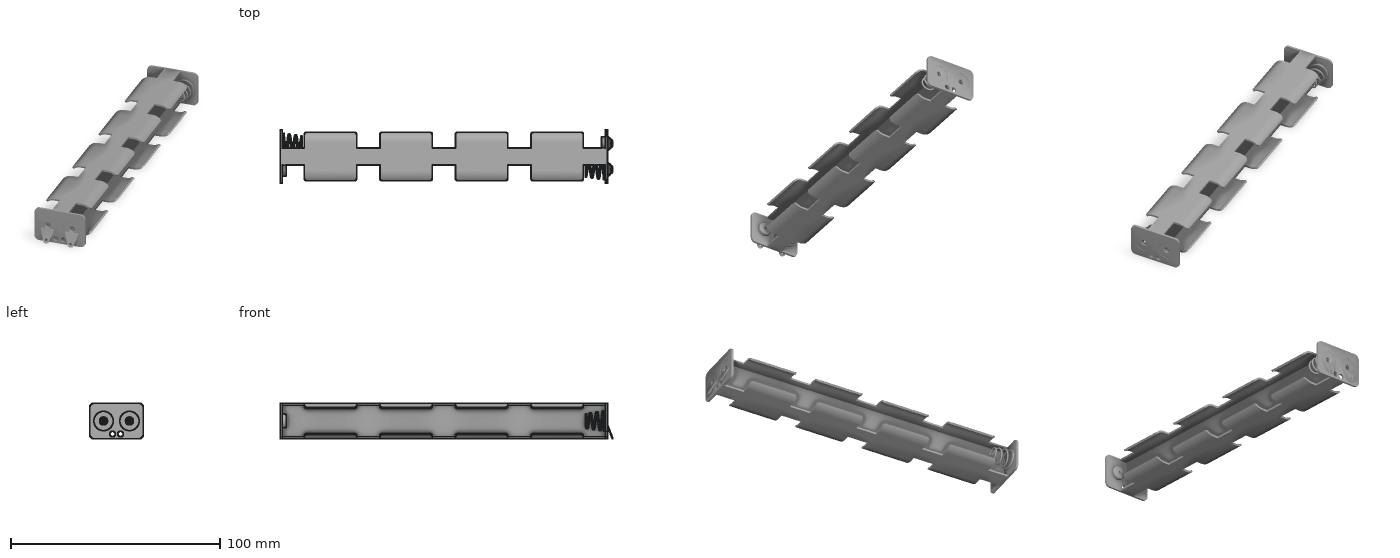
import cadquery as cq
import math

housing_length = 156.4
housing_width = 25.7
housing_height = 17.2
wall = 1.0
plate_thickness = 1.1
plate_corner_radius = 2.4
spine_half_width = 4.1

wing_count = 4
wing_length = 25.1
wing_pitch = 36.0
wing_flat_half_width = 7.0
wing_outer_radius = 6.4
wing_inner_radius = wing_outer_radius - wall
wing_arc_angle = 47.5
wing_corner_radius = 1.6

contact_offset = 6.2
disc_radius = 4.6
pocket_depth = 0.5
wire_hole_radius = 1.3
wire_hole_offset = 1.9
wire_hole_height = -6.2

contact_thickness = 0.3
stem_radius = 1.9
countersink_radius = 1.6
bore_radius = 1.1
vent_radius = 0.6
disc_face = pocket_depth - contact_thickness
button_radius = 3.3
button_height = 1.9
button_fillet = 0.8

tab_root_height = -1.5
tab_root_half_width = 3.7
tab_tip_radius = 1.7
tab_hole_radius = 0.6
tab_angle = 21.2
tab_overhang = 2.5
tab_length = (tab_overhang + disc_face) / math.sin(math.radians(tab_angle))

spring_wire_radius = 0.4
spring_height = 9.5
spring_clearance = 0.08
spring_base_radius = 4.6
spring_taper_per_turn = 0.45
spring_first_turn = -0.6
spring_rise_start = 0.1
spring_rise_end = 2.9
spring_last_turn = 3.6
spring_points_per_turn = 8

half_height = housing_height / 2


def arc_point(radius, angle):
    """Point on the wing arc, measured from where the arc leaves the flat."""
    y = wing_flat_half_width + radius * math.sin(math.radians(angle))
    z = half_height - wing_outer_radius + radius * math.cos(math.radians(angle))
    return y, z


def wing(start):
    """Upper wing on the +Y side: a flat strip that curls down around the battery."""
    profile = (
        cq.Workplane("YZ", origin=(start, 0, 0))
        .moveTo(0, half_height)
        .lineTo(wing_flat_half_width, half_height)
        .threePointArc(
            arc_point(wing_outer_radius, wing_arc_angle / 2),
            arc_point(wing_outer_radius, wing_arc_angle),
        )
        .lineTo(*arc_point(wing_inner_radius, wing_arc_angle))
        .threePointArc(
            arc_point(wing_inner_radius, wing_arc_angle / 2),
            (wing_flat_half_width, half_height - wall),
        )
        .lineTo(0, half_height - wall)
        .close()
    )
    body = profile.extrude(wing_length)
    tip_y, tip_z = arc_point((wing_outer_radius + wing_inner_radius) / 2, wing_arc_angle)
    for x in (start, start + wing_length):
        corner = cq.selectors.NearestToPointSelector((x, tip_y, tip_z))
        body = body.edges(corner).fillet(wing_corner_radius)
    return body


def end_plate(start):
    return (
        cq.Workplane("YZ", origin=(start, 0, 0))
        .rect(housing_width, housing_height)
        .extrude(plate_thickness)
        .edges("|X")
        .fillet(plate_corner_radius)
    )


def x_cylinder(start, length, radius, y=0, z=0):
    return cq.Workplane("YZ", origin=(start, y, z)).circle(radius).extrude(length)


def make_housing():
    web = cq.Workplane("XY").box(housing_length, wall, housing_height, centered=(False, True, True))
    body = web.union(end_plate(0)).union(end_plate(housing_length - plate_thickness))
    strip = cq.Workplane("XY").box(
        housing_length, 2 * spine_half_width, wall, centered=(False, True, False)
    )
    body = body.union(strip.translate((0, 0, half_height - wall)))
    body = body.union(strip.translate((0, 0, -half_height)))

    first_wing = (housing_length - (wing_count - 1) * wing_pitch - wing_length) / 2
    for index in range(wing_count):
        one_wing = wing(first_wing + index * wing_pitch)
        upper_pair = one_wing.union(one_wing.mirror("XZ"))
        body = body.union(upper_pair).union(upper_pair.mirror("XY"))

    for side in (-1, 1):
        y = side * contact_offset
        body = body.cut(x_cylinder(0, pocket_depth, disc_radius, y))
        body = body.cut(x_cylinder(housing_length - pocket_depth, pocket_depth, disc_radius, y))
        for plate_start in (0, housing_length - plate_thickness):
            body = body.cut(x_cylinder(plate_start, plate_thickness, stem_radius, y))
            wire_hole = x_cylinder(plate_start, plate_thickness, wire_hole_radius)
            body = body.cut(wire_hole.translate((0, side * wire_hole_offset, wire_hole_height)))
    return body


def rivet():
    """Disc in the plate's pocket with a stem through the plate."""
    disc = x_cylinder(disc_face, contact_thickness, disc_radius)
    return disc.union(x_cylinder(disc_face, plate_thickness - disc_face, stem_radius))


def pierce(contact):
    """Opens the stem: a countersink, a bore, and a vent to the battery side."""
    countersink = (
        cq.Workplane("YZ", origin=(disc_face, 0, 0))
        .circle(countersink_radius)
        .workplane(offset=contact_thickness)
        .circle(bore_radius)
        .loft()
    )
    bore = x_cylinder(disc_face, plate_thickness - disc_face, bore_radius)
    vent = x_cylinder(0, plate_thickness + button_height, vent_radius)
    return contact.cut(countersink).cut(bore).cut(vent)


def solder_tab():
    """Tapered tab with a rounded, drilled tip."""
    tip_centre = tab_tip_radius - tab_length
    tab = (
        cq.Workplane("YZ")
        .moveTo(-tab_root_half_width, 0)
        .lineTo(tab_root_half_width, 0)
        .lineTo(tab_tip_radius, tip_centre)
        .threePointArc((0, -tab_length), (-tab_tip_radius, tip_centre))
        .close()
        .extrude(contact_thickness)
    )
    tab = tab.cut(x_cylinder(0, contact_thickness, tab_hole_radius, 0, tip_centre))
    tab = tab.rotate((0, 0, 0), (0, 1, 0), tab_angle)
    return tab.translate((disc_face, 0, tab_root_height))


def make_button_contact():
    button = x_cylinder(plate_thickness, button_height, button_radius)
    button = button.faces(">X").edges().fillet(button_fillet)
    return pierce(rivet().union(button))


def spring_point(turn):
    """Point on the coil centreline after a number of turns from the +Y side."""
    rise = (turn - spring_rise_start) / (spring_rise_end - spring_rise_start)
    rise = min(max(rise, 0), 1)
    lowest = plate_thickness + spring_clearance + spring_wire_radius
    highest = plate_thickness + spring_height - spring_wire_radius
    x = lowest + rise * (highest - lowest)
    radius = spring_base_radius - spring_taper_per_turn * max(turn, 0)
    angle = 2 * math.pi * turn
    return cq.Vector(x, radius * math.cos(angle), radius * math.sin(angle))


def make_spring_contact():
    steps = round((spring_last_turn - spring_first_turn) * spring_points_per_turn)
    points = [spring_point(spring_first_turn + step / spring_points_per_turn) for step in range(steps + 1)]
    centreline = cq.Edge.makeSpline(points)
    start_plane = cq.Plane(origin=points[0], normal=centreline.tangentAt(0))
    coil = (
        cq.Workplane(start_plane)
        .circle(spring_wire_radius)
        .sweep(cq.Workplane(cq.Wire.assembleEdges([centreline])), isFrenet=False)
    )
    flange = x_cylinder(plate_thickness, contact_thickness, disc_radius)
    return pierce(rivet().union(flange)).union(coil)


def at_near_end(contact, side):
    """Places a contact in the plate at X = 0."""
    return contact.translate((0, side * contact_offset, 0))


def at_far_end(contact, side):
    """Adds the solder tab, then turns the contact into the opposite plate."""
    turned = contact.union(solder_tab()).rotate((0, 0, 0), (0, 0, 1), 180)
    return turned.translate((housing_length, side * contact_offset, 0))


housing = make_housing()
button_contact = make_button_contact()
spring_contact = make_spring_contact()

contacts = [
    at_near_end(button_contact, -1),
    at_near_end(spring_contact, 1),
    at_far_end(button_contact, 1),
    at_far_end(spring_contact, -1),
]

result = cq.Compound.makeCompound([housing.val(), *[contact.val() for contact in contacts]])